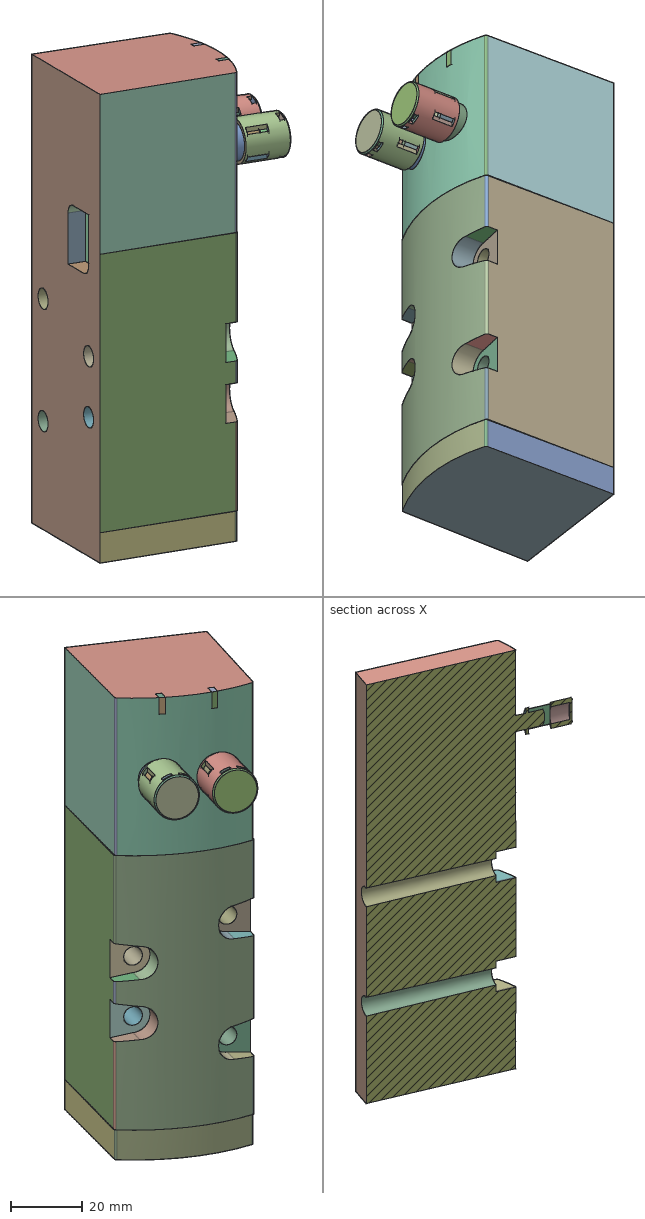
import cadquery as cq
import math

HEIGHT = 138.0
FRONT_WIDTH = 42.0
CREST_Y = 47.9
SHOULDER_Y = 43.5
CORNER_RADIUS = 1.0
CAP_TOP_Z = 9.0
HEAD_BOTTOM_Z = 91.0
END_DRAFT_DEG = 0.7
MIDDLE_DRAFT_DEG = 0.3

SCREW_X = 14.0
SCREW_CENTER_Z = 50.0
LEFT_SCREW_SPACING = 36.0
RIGHT_SCREW_SPACING = 18.0
HOLE_FRONT_DIA = 6.1
HOLE_SEAT_DIA = 5.5
HEAD_SEAT_DIA = 10.0
HEAD_SEAT_Y = 39.9
SEAT_MOUTH_WIDTH = 11.5

POCKET_LEFT_X = 1.4
POCKET_WIDTH = 12.5
POCKET_BOTTOM_Z = 82.5
POCKET_HEIGHT = 18.1
POCKET_DEPTH = 5.5
POCKET_RADIUS = 3.0

CONNECTOR_SPACING = 17.2
CONNECTOR_Z = 113.7
NECK_DIA = 11.5
NECK_END_Y = 54.8
NECK_CHAMFER = 0.5
COLLAR_DIA = 13.4
COLLAR_START_Y = 49.0
COLLAR_END_Y = 63.3
COLLAR_CHAMFER = 0.4
CORE_DIA = 5.8
SLOT_START_Y = 50.0
SLOT_END_Y = 56.7
SLOT_WIDTH = 1.4
SLOT_OFFSET = 5.1
WINDOW_START_Y = 61.1
WINDOW_END_Y = 62.5
WINDOW_WIDTH = 2.9
WINDOW_OFFSET = 2.5

LENS_X = 7.7
LENS_WIDTH = 1.8
LENS_FRONT_Y = 43.9
LENS_HEIGHT = 5.0

SIDES = (-1, 1)


def block_section(bottom_z, top_z, draft_deg):
    """Slice of the block whose sides lean inward toward the arched back."""
    half_front = FRONT_WIDTH / 2
    half_back = half_front - SHOULDER_Y * math.tan(math.radians(draft_deg))
    section = (
        cq.Workplane("XY", origin=(0, 0, bottom_z))
        .moveTo(-half_front, 0)
        .lineTo(half_front, 0)
        .lineTo(half_back, SHOULDER_Y)
        .threePointArc((0, CREST_Y), (-half_back, SHOULDER_Y))
        .close()
        .extrude(top_z - bottom_z)
    )
    back_corners = cq.selectors.BoxSelector(
        (-FRONT_WIDTH, SHOULDER_Y - 1.4, bottom_z), (FRONT_WIDTH, SHOULDER_Y + 1.4, top_z)
    )
    return section.edges("|Z").edges(back_corners).fillet(CORNER_RADIUS)


def cylinder_along_y(x, z, start_y, end_y, diameter):
    return (
        cq.Workplane("XZ", origin=(x, start_y, z))
        .circle(diameter / 2)
        .extrude(start_y - end_y)
    )


def screw_cut(side, z):
    """Tapered through hole with a head seat that widens out to the nearest side."""
    x = side * SCREW_X
    hole = cq.Solid.makeCone(
        HOLE_FRONT_DIA / 2,
        HOLE_SEAT_DIA / 2,
        HEAD_SEAT_Y,
        pnt=cq.Vector(x, 0, z),
        dir=cq.Vector(0, 1, 0),
    )
    seat = cylinder_along_y(x, z, HEAD_SEAT_Y, CREST_Y, HEAD_SEAT_DIA)
    side_x = side * FRONT_WIDTH / 2
    opening = (
        cq.Workplane("XZ", origin=(0, HEAD_SEAT_Y, z))
        .moveTo(x, -HEAD_SEAT_DIA / 2)
        .lineTo(side_x, -SEAT_MOUTH_WIDTH / 2)
        .lineTo(side_x, SEAT_MOUTH_WIDTH / 2)
        .lineTo(x, HEAD_SEAT_DIA / 2)
        .close()
        .extrude(HEAD_SEAT_Y - CREST_Y)
    )
    return seat.union(opening).union(cq.Workplane(hole))


def pocket_cut():
    """Pocket with its upper left and lower right corners rounded."""
    right_x = POCKET_LEFT_X + POCKET_WIDTH
    top_z = POCKET_BOTTOM_Z + POCKET_HEIGHT
    return (
        cq.Workplane("XZ")
        .moveTo(POCKET_LEFT_X, POCKET_BOTTOM_Z)
        .lineTo(right_x - POCKET_RADIUS, POCKET_BOTTOM_Z)
        .radiusArc((right_x, POCKET_BOTTOM_Z + POCKET_RADIUS), -POCKET_RADIUS)
        .lineTo(right_x, top_z)
        .lineTo(POCKET_LEFT_X + POCKET_RADIUS, top_z)
        .radiusArc((POCKET_LEFT_X, top_z - POCKET_RADIUS), -POCKET_RADIUS)
        .close()
        .extrude(-POCKET_DEPTH)
    )


def bar_across_collar(x, start_y, end_y, width):
    """Upright bar that cuts through both walls of a collar centered on the Y axis."""
    middle_y = (start_y + end_y) / 2
    return cq.Workplane("XY", origin=(x, middle_y, 0)).box(width, end_y - start_y, COLLAR_DIA)


def connector():
    """Slotted collar, closed at its outer end, around a neck and core, centered on the Y axis."""
    neck = cylinder_along_y(0, 0, SHOULDER_Y, NECK_END_Y, NECK_DIA).faces(">Y").chamfer(NECK_CHAMFER)
    core = cylinder_along_y(0, 0, NECK_END_Y, WINDOW_END_Y, CORE_DIA)
    collar = cylinder_along_y(0, 0, COLLAR_START_Y, COLLAR_END_Y, COLLAR_DIA)
    collar = collar.faces(">Y").chamfer(COLLAR_CHAMFER)
    collar = collar.cut(cylinder_along_y(0, 0, COLLAR_START_Y, WINDOW_END_Y, NECK_DIA))
    for side in SIDES:
        collar = collar.cut(
            bar_across_collar(side * SLOT_OFFSET, SLOT_START_Y, SLOT_END_Y, SLOT_WIDTH)
        )
        collar = collar.cut(
            bar_across_collar(side * WINDOW_OFFSET, WINDOW_START_Y, WINDOW_END_Y, WINDOW_WIDTH)
        )
    return collar.union(neck).union(core)


def make_block():
    block = block_section(0, CAP_TOP_Z, END_DRAFT_DEG)
    block = block.union(block_section(CAP_TOP_Z, HEAD_BOTTOM_Z, MIDDLE_DRAFT_DEG))
    return block.union(block_section(HEAD_BOTTOM_Z, HEIGHT, END_DRAFT_DEG)).clean()


def lens_envelope(x):
    """Straight-sided box that a lens fills up to the arched back."""
    depth = CREST_Y - LENS_FRONT_Y
    return (
        cq.Workplane("XY", origin=(x, LENS_FRONT_Y + depth / 2, HEIGHT))
        .rect(LENS_WIDTH, depth)
        .extrude(-LENS_HEIGHT)
    )


def make_lens(block, side):
    return block.intersect(lens_envelope(side * LENS_X))


def make_housing(block):
    housing = block.cut(pocket_cut())
    for side, spacing in zip(SIDES, (LEFT_SCREW_SPACING, RIGHT_SCREW_SPACING)):
        for direction in SIDES:
            housing = housing.cut(screw_cut(side, SCREW_CENTER_Z + direction * spacing / 2))
        housing = housing.union(connector().translate((side * CONNECTOR_SPACING / 2, 0, CONNECTOR_Z)))
        housing = housing.cut(lens_envelope(side * LENS_X))
    return housing


block = make_block()
housing = make_housing(block)
lenses = [make_lens(block, side) for side in SIDES]

result = cq.Compound.makeCompound([housing.val(), *[lens.val() for lens in lenses]])